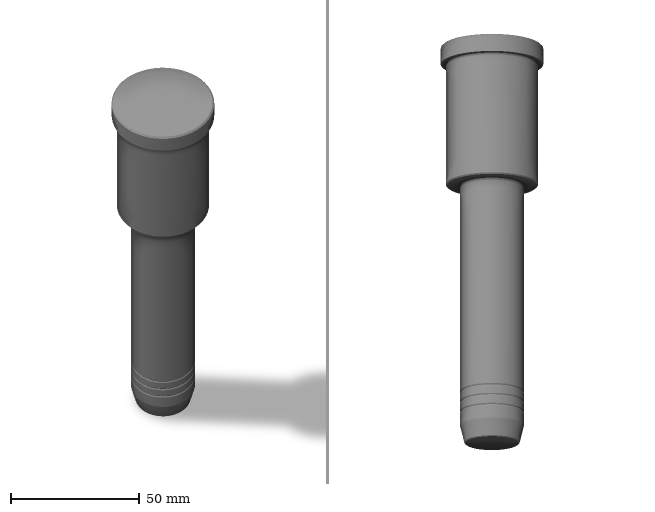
import cadquery as cq
import math

total_length = 160.0
head_thickness = 7.0
sleeve_bottom = 104.0
head_bottom = total_length - head_thickness

head_radius = 20.0
sleeve_radius = 18.0
shank_radius = 12.5

head_chamfer = 0.6
sleeve_chamfer = 0.5
neck_depth = 0.5
neck_length = 1.0

taper_length = 7.0
taper_angle = 14.0
tip_chamfer = 0.3

groove_count = 3
groove_width = 1.0
groove_depth = 0.3
lowest_groove_height = 12.5
groove_pitch = 4.0


def make_body():
    """Revolve the stepped half-profile around Z."""
    tip_radius = shank_radius - taper_length * math.tan(math.radians(taper_angle))
    profile = [
        (0, 0),
        (tip_radius, 0),
        (shank_radius, taper_length),
        (shank_radius, sleeve_bottom - neck_length),
        (shank_radius - neck_depth, sleeve_bottom - neck_length),
        (shank_radius - neck_depth, sleeve_bottom),
        (sleeve_radius - sleeve_chamfer, sleeve_bottom),
        (sleeve_radius, sleeve_bottom + sleeve_chamfer),
        (sleeve_radius, head_bottom - neck_length),
        (sleeve_radius - neck_depth, head_bottom - neck_length + neck_depth),
        (sleeve_radius - neck_depth, head_bottom),
        (head_radius, head_bottom),
        (head_radius, total_length),
        (0, total_length),
    ]
    return cq.Workplane("XZ").polyline(profile).close().revolve(360, (0, 0), (0, 1))


def break_edges(body):
    """Chamfer the head rim and the tip rim."""
    body = body.faces(">Z").edges().chamfer(head_chamfer)
    return body.faces("<Z").edges().chamfer(tip_chamfer)


def make_groove(center_height):
    """V-section ring of material removed by one oil groove."""
    half_width = groove_width / 2
    profile = [
        (shank_radius, center_height - half_width),
        (shank_radius - groove_depth, center_height),
        (shank_radius, center_height + half_width),
    ]
    return cq.Workplane("XZ").polyline(profile).close().revolve(360, (0, 0), (0, 1))


result = break_edges(make_body())
for index in range(groove_count):
    result = result.cut(make_groove(lowest_groove_height + index * groove_pitch))